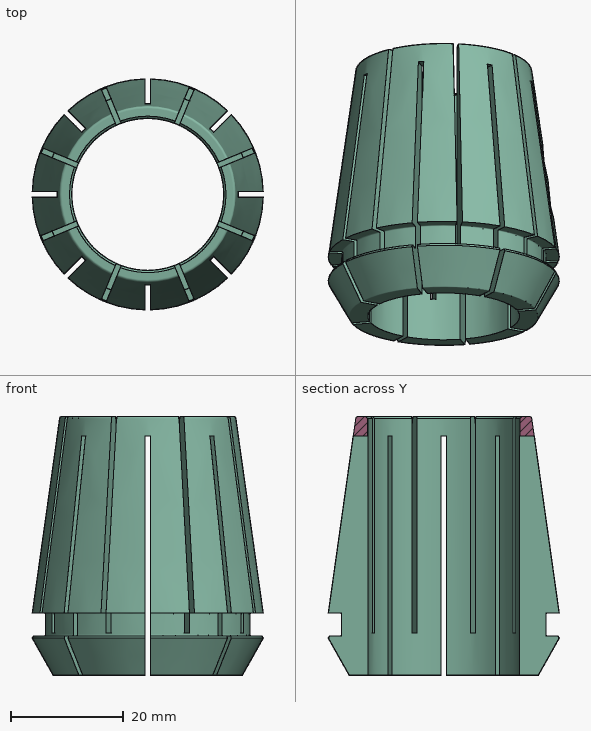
import cadquery as cq
import math

height = 46.0
flange_edge_z = 6.62
groove_bottom_z = 7.05
groove_top_z = 11.1

body_radius = 20.5
neck_radius = 18.15
nose_radius = 16.8
bore_radius = 13.5
body_taper = 8.0

flange_rim_inset = 0.25
corner_round = 0.2
top_edge_round = 0.45
bore_edge_chamfer = 0.4

slot_width = 0.95
slots_per_end = 8
slot_pitch = 360.0 / slots_per_end
nose_slot_end_z = 42.5
top_slot_floor_z = 7.55


def make_body():
    """Revolve the tapered sleeve with its groove, nose flange and bore."""
    top_radius = body_radius - (height - groove_top_z) * math.tan(math.radians(body_taper))
    sleeve = (
        cq.Workplane("XZ")
        .moveTo(bore_radius, 0)
        .lineTo(nose_radius, 0)
        .lineTo(body_radius, flange_edge_z)
        .lineTo(body_radius - flange_rim_inset, groove_bottom_z)
        .lineTo(neck_radius + corner_round, groove_bottom_z)
        .radiusArc((neck_radius, groove_bottom_z + corner_round), corner_round)
        .lineTo(neck_radius, groove_top_z - corner_round)
        .radiusArc((neck_radius + corner_round, groove_top_z), corner_round)
        .lineTo(body_radius, groove_top_z)
        .lineTo(top_radius, height)
        .lineTo(bore_radius, height)
        .close()
        .revolve(360, (0, 0, 0), (0, 1, 0))
    )
    inner_edge = cq.selectors.RadiusNthSelector(0)
    outer_edge = cq.selectors.RadiusNthSelector(-1)
    sleeve = sleeve.faces("<Z").edges(outer_edge).fillet(corner_round)
    sleeve = sleeve.faces(">Z").edges(outer_edge).fillet(top_edge_round)
    return sleeve.faces(">Z").edges(inner_edge).chamfer(bore_edge_chamfer)


def slot_cutters(z_start, z_end, first_angle):
    """Radial blades, each reaching from the axis out past the largest radius."""
    blade_length = body_radius + slot_width
    blade = (
        cq.Workplane("XY", origin=(0, 0, z_start))
        .box(blade_length, slot_width, z_end - z_start, centered=(False, True, False))
    )
    cutters = cq.Workplane("XY")
    for index in range(slots_per_end):
        angle = first_angle + index * slot_pitch
        cutters = cutters.add(blade.rotate((0, 0, 0), (0, 0, 1), angle))
    return cutters.combine()


nose_slots = slot_cutters(0, nose_slot_end_z, 0)
top_slots = slot_cutters(top_slot_floor_z, height, slot_pitch / 2)

result = make_body().cut(nose_slots).cut(top_slots)